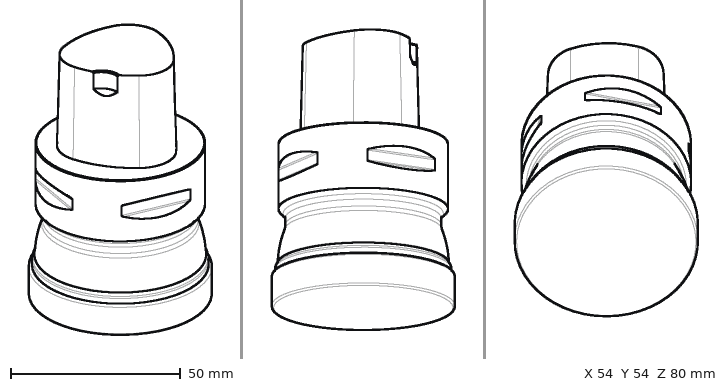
import cadquery as cq
import math

shank_height = 30.0
shank_lobe_reach = 18.85
shank_flat_reach = 16.1
shank_lobe_radius = 11.2
shank_taper = math.degrees(math.atan(1 / 40))

notch_radius = 5.45
notch_depth = 5.5
notch_axis_y = -19.3
notch_edge_break = 0.25

flange_radius = 25.0
flange_height = 20.0
flange_top_chamfer = 0.25
flange_under_chamfer = 1.4

groove_count = 4
groove_first_angle = 45.0
groove_z = -flange_height / 2
groove_floor_radius = 22.2
groove_floor_width = 3.55
groove_mouth_width = 6.8
groove_floor_fillet = 0.5

neck_radius = 23.0
neck_top_z = -22.9
neck_bottom_z = -25.0
bell_top_radius = 23.2
bell_top_z = -26.4
bell_middle_radius = 24.55
bell_middle_z = -31.0
bell_bottom_radius = 25.3
bell_bottom_z = -36.4

base_top_z = -36.7
collar_radius = 26.0
collar_cone_bottom_radius = 25.85
collar_cone_bottom_z = -37.7
collar_top_z = -38.3
rim_radius = 27.0
rim_top_z = -40.0
base_bottom_z = -50.0
rim_top_fillet = 0.7
rim_bottom_fillet = 0.6


def polar(radius, degrees):
    angle = math.radians(degrees)
    return (radius * math.cos(angle), radius * math.sin(angle))


def shank_body():
    """Three tangent lobe arcs and three flat arcs, tapered toward the top."""
    lobe_offset = shank_lobe_reach - shank_lobe_radius
    reach_gap = shank_flat_reach - shank_lobe_radius
    flat_offset = (lobe_offset**2 - reach_gap**2) / (2 * reach_gap - lobe_offset)
    half_width = lobe_offset * math.sin(math.radians(60))
    centre_height = flat_offset + lobe_offset * math.cos(math.radians(60))
    tangent_angle = 60 - math.degrees(math.atan2(half_width, centre_height))

    def lobe_point(lobe_angle, turn):
        centre = polar(lobe_offset, lobe_angle)
        arm = polar(shank_lobe_radius, lobe_angle + turn)
        return (centre[0] + arm[0], centre[1] + arm[1])

    outline = cq.Workplane("XY").moveTo(*lobe_point(90, -tangent_angle))
    for lobe_angle in (90, 210, 330):
        outline = outline.threePointArc(
            polar(shank_lobe_reach, lobe_angle), lobe_point(lobe_angle, tangent_angle)
        ).threePointArc(
            polar(shank_flat_reach, lobe_angle + 60), lobe_point(lobe_angle + 120, -tangent_angle)
        )
    return outline.close().extrude(shank_height, taper=shank_taper)


def notch_cutter():
    """Drill shape with a 45-degree point, leaned to run parallel to the tapered shank side."""
    body = (
        cq.Workplane("XZ")
        .moveTo(0, -notch_radius)
        .lineTo(notch_radius, 0)
        .lineTo(notch_radius, notch_depth - notch_edge_break)
        .lineTo(notch_radius + 2 * notch_edge_break, notch_depth + notch_edge_break)
        .lineTo(0, notch_depth + notch_edge_break)
        .close()
        .revolve(360, (0, 0), (0, 1))
    )
    leaned = body.rotate((0, 0, 0), (1, 0, 0), -shank_taper)
    return leaned.translate((0, notch_axis_y, shank_height - notch_depth))


def flange_and_bell():
    """Turned part of the holder: flange, neck and bell."""
    under_z = -flange_height - flange_under_chamfer
    return (
        cq.Workplane("XZ")
        .lineTo(flange_radius - flange_top_chamfer, 0)
        .lineTo(flange_radius, -flange_top_chamfer)
        .lineTo(flange_radius, -flange_height)
        .lineTo(flange_radius - flange_under_chamfer, under_z)
        .tangentArcPoint((neck_radius, neck_top_z), relative=False)
        .lineTo(neck_radius, neck_bottom_z)
        .tangentArcPoint((bell_top_radius, bell_top_z), relative=False)
        .threePointArc((bell_middle_radius, bell_middle_z), (bell_bottom_radius, bell_bottom_z))
        .lineTo(bell_bottom_radius, base_top_z)
        .lineTo(0, base_top_z)
        .close()
        .revolve(360, (0, 0), (0, 1))
    )


def groove_cutter():
    """Straight trapezoidal bar across the +X side, wider outward."""
    depth = flange_radius - groove_floor_radius
    side_run = (groove_mouth_width - groove_floor_width) / 2
    outer_half_width = groove_floor_width / 2 + 2 * side_run
    outer_radius = groove_floor_radius + 2 * depth
    return (
        cq.Workplane("XZ")
        .moveTo(groove_floor_radius, groove_z - groove_floor_width / 2)
        .lineTo(outer_radius, groove_z - outer_half_width)
        .lineTo(outer_radius, groove_z + outer_half_width)
        .lineTo(groove_floor_radius, groove_z + groove_floor_width / 2)
        .close()
        .extrude(flange_radius, both=True)
        .edges("<X and |Y")
        .fillet(groove_floor_fillet)
    )


def holder_body():
    body = flange_and_bell().union(shank_body()).cut(notch_cutter())
    for index in range(groove_count):
        angle = groove_first_angle + index * 360 / groove_count
        body = body.cut(groove_cutter().rotate((0, 0, 0), (0, 0, 1), angle))
    return body


def base_ring_body():
    """Coned collar on a rounded rim, flush against the bottom of the bell."""
    return (
        cq.Workplane("XZ")
        .moveTo(0, base_top_z)
        .lineTo(bell_bottom_radius, base_top_z)
        .lineTo(collar_cone_bottom_radius, collar_cone_bottom_z)
        .tangentArcPoint((collar_radius, collar_top_z), relative=False)
        .lineTo(collar_radius, rim_top_z)
        .lineTo(rim_radius - rim_top_fillet, rim_top_z)
        .tangentArcPoint((rim_radius, rim_top_z - rim_top_fillet), relative=False)
        .lineTo(rim_radius, base_bottom_z + rim_bottom_fillet)
        .tangentArcPoint((rim_radius - rim_bottom_fillet, base_bottom_z), relative=False)
        .lineTo(0, base_bottom_z)
        .close()
        .revolve(360, (0, 0), (0, 1))
    )


holder = holder_body()
base_ring = base_ring_body()
result = cq.Compound.makeCompound([holder.val(), base_ring.val()])